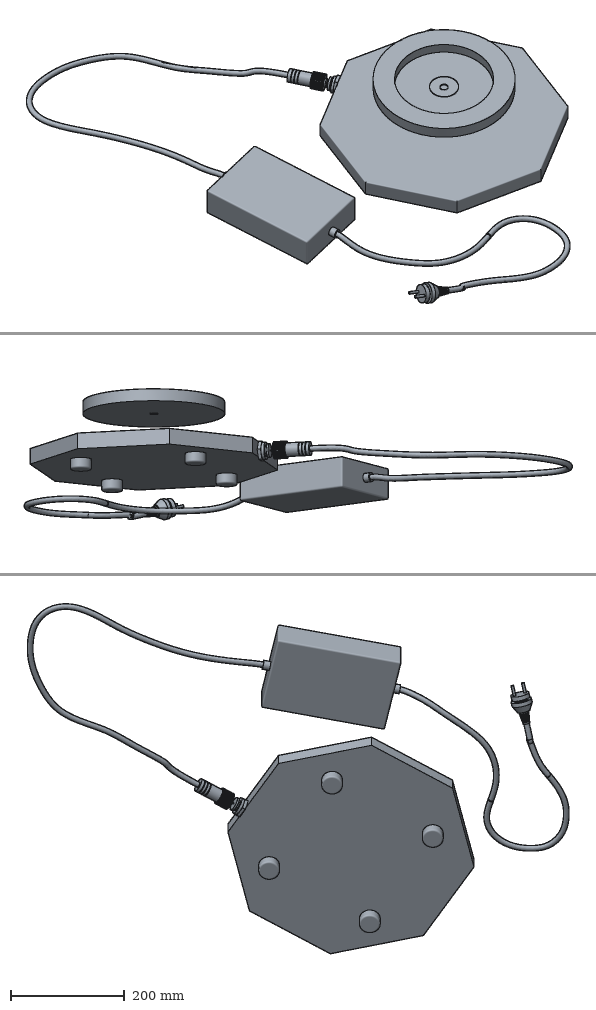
import cadquery as cq
import math


base_sides = 8
base_width = 405.0
base_bottom = 18.0
base_height = 29.0
base_edge_radius = 2.0

foot_radius = 18.0
foot_offset = 104.0
foot_edge_radius = 3.0

dish_radius = 125.0
dish_bottom = 114.0
dish_height = 21.0
dish_recess_radius = 87.0
dish_recess_depth = 18.0
hub_radius = 26.0
hub_depth = 1.0
dish_hole_radius = 7.0

supply_length = 221.0
supply_width = 142.0
supply_height = 55.0
supply_edge_radius = 3.0
supply_angle = -20
supply_centre = (-216.0, -280.0)
grommet_radius = 8.0
grommet_length = 12.0

cable_radius = 5.0
cable_overlap = 3.0
lead_low = 8.0
mains_low = 2.0

lead_route = [
    (-362.0, -228.0, 23.0),
    (-411.0, -210.0, 17.0),
    (-473.0, -192.0, 13.0),
    (-535.0, -183.0, 10.0),
    (-593.0, -180.0, lead_low),
    (-658.0, -179.0, lead_low),
    (-695.0, -168.0, lead_low),
    (-717.0, -143.0, lead_low),
    (-722.0, -113.0, lead_low),
    (-711.0, -76.0, lead_low),
    (-686.0, -38.0, lead_low),
    (-646.0, -4.0, lead_low),
    (-592.0, 20.0, lead_low),
    (-496.0, 15.0, 12.0),
    (-435.0, 18.0, 17.0),
    (-372.0, 24.0, 25.0),
]

mains_route = [
    (-82.0, -328.0, 23.0),
    (-51.0, -335.0, 11.0),
    (-18.0, -335.0, 4.0),
    (36.0, -329.0, mains_low),
    (82.0, -317.0, mains_low),
    (117.0, -292.0, mains_low),
    (137.0, -261.0, mains_low),
    (149.0, -223.0, mains_low),
    (164.0, -188.0, mains_low),
    (189.0, -169.0, mains_low),
    (224.0, -165.0, mains_low),
    (259.0, -177.0, mains_low),
    (283.0, -200.0, mains_low),
    (291.0, -232.0, mains_low),
    (280.0, -265.0, mains_low),
    (260.0, -293.0, mains_low),
    (215.0, -320.0, mains_low),
    (172.0, -342.0, 3.0),
    (141.0, -366.0, 6.0),
]

connector_y = 35.0
connector_z = 31.0
connector_rear = -295.0
connector_body_length = 43.0
connector_body_radius = 12.0
connector_groove_depth = 1.0
connector_groove_width = 1.0
connector_groove_count = 3
connector_groove_spacing = 6.0
sleeve_length = 23.0
sleeve_radius = 14.0
sleeve_rib_count = 24
sleeve_rib_size = 2.0
nose_length = 3.0
nose_radius = 8.0
contact_radius = 1.0

socket_nut_sides = 6
socket_nut_width = 32.0
socket_nut_length = 6.0
socket_collar_radius = 15.0
socket_collar_length = 5.0
socket_neck_radius = 10.0
socket_neck_length = 3.0
socket_face_radius = 12.0
socket_face_length = 4.0

plug_end = (121.0, -389.0, 12.0)
plug_heading = 225
plug_tilt = 17
plug_roll = 17
relief_length = 23.0
relief_end_radius = 6.0
relief_radius = 9.0
relief_groove_count = 4
relief_groove_width = 2.0
relief_groove_depth = 2.0
plug_back_radius = 11.0
plug_body_radius = 18.0
plug_face_radius = 16.0
plug_groove_radius = 12.0
plug_back_length = 13.0
plug_disc_length = 7.0
plug_groove_length = 3.0
plug_front_length = 8.0
plug_pin_radius = 2.6
plug_pin_length = 18.0
plug_pin_spacing = 19.0


def cylinder_along_x(start, length, radius):
    """Cylinder on the connector axis, running toward +X."""
    return (
        cq.Workplane("YZ", origin=(start, connector_y, connector_z))
        .circle(radius)
        .extrude(length)
    )


def make_base():
    corner_diameter = base_width / math.cos(math.pi / base_sides)
    base = (
        cq.Workplane("XY")
        .workplane(offset=base_bottom)
        .transformed(rotate=(0, 0, 180 / base_sides))
        .polygon(base_sides, corner_diameter)
        .extrude(base_height)
        .faces(">Z")
        .edges()
        .fillet(base_edge_radius)
    )
    feet = (
        cq.Workplane("XY")
        .rect(2 * foot_offset, 2 * foot_offset, forConstruction=True)
        .vertices()
        .circle(foot_radius)
        .extrude(base_bottom)
        .faces("<Z")
        .edges()
        .fillet(foot_edge_radius)
    )
    return base.union(feet)


def make_socket():
    nut_start = -base_width / 2 - socket_nut_length
    collar_start = nut_start - socket_collar_length
    neck_start = collar_start - socket_neck_length
    face_start = neck_start - socket_face_length
    nut = (
        cq.Workplane("YZ", origin=(nut_start, connector_y, connector_z))
        .polygon(socket_nut_sides, socket_nut_width / math.cos(math.pi / socket_nut_sides))
        .extrude(socket_nut_length)
    )
    collar = cylinder_along_x(collar_start, socket_collar_length, socket_collar_radius)
    neck = cylinder_along_x(neck_start, socket_neck_length, socket_neck_radius)
    face = cylinder_along_x(face_start, socket_face_length, socket_face_radius)
    return nut.union(collar).union(neck).union(face)


def make_connector():
    sleeve_start = connector_rear + connector_body_length
    nose_start = sleeve_start + sleeve_length
    body = cylinder_along_x(connector_rear, connector_body_length, connector_body_radius)
    groove_floor_radius = connector_body_radius - connector_groove_depth
    for index in range(connector_groove_count):
        groove_start = connector_rear + (index + 1) * connector_groove_spacing
        ring = cylinder_along_x(groove_start, connector_groove_width, connector_body_radius)
        core = cylinder_along_x(groove_start, connector_groove_width, groove_floor_radius)
        body = body.cut(ring.cut(core))
    sleeve = cylinder_along_x(sleeve_start, sleeve_length, sleeve_radius)
    ribs = (
        cq.Workplane("YZ", origin=(sleeve_start, connector_y, connector_z))
        .polarArray(sleeve_radius, 0, 360, sleeve_rib_count)
        .rect(sleeve_rib_size, sleeve_rib_size)
        .extrude(sleeve_length)
    )
    nose = cylinder_along_x(nose_start, nose_length, nose_radius)
    contact = cylinder_along_x(nose_start, -base_width / 2 - nose_start, contact_radius)
    return body.union(sleeve).union(ribs).union(nose).union(contact)


def along_supply(distance):
    """Point on the long centre line of the power supply, at mid height."""
    angle = math.radians(supply_angle)
    return (
        supply_centre[0] + distance * math.cos(angle),
        supply_centre[1] + distance * math.sin(angle),
        supply_height / 2,
    )


def make_supply():
    case = (
        cq.Workplane("XY")
        .box(supply_length, supply_width, supply_height)
        .edges()
        .fillet(supply_edge_radius)
    )
    grommets = (
        cq.Workplane("YZ")
        .circle(grommet_radius)
        .extrude(supply_length / 2 + grommet_length, both=True)
    )
    return (
        case.union(grommets)
        .rotate((0, 0, 0), (0, 0, 1), supply_angle)
        .translate((*supply_centre, supply_height / 2))
    )


def make_cable(points, start_direction, end_direction):
    path = cq.Workplane("XY").spline(points, tangents=[start_direction, end_direction])
    start_plane = cq.Plane(origin=points[0], normal=start_direction)
    return cq.Workplane(start_plane).circle(cable_radius).sweep(path, isFrenet=True)


def plug_direction():
    heading = math.radians(plug_heading)
    tilt = math.radians(plug_tilt)
    return cq.Vector(
        math.cos(heading) * math.cos(tilt),
        math.sin(heading) * math.cos(tilt),
        math.sin(tilt),
    )


def make_plug():
    """Plug built upright from its cable end, then rolled, tilted, turned to its heading and placed."""
    disc_start = relief_length + plug_back_length
    groove_start = disc_start + plug_disc_length
    front_start = groove_start + plug_groove_length
    front_end = front_start + plug_front_length
    body = (
        cq.Workplane("XZ")
        .polyline(
            [
                (0, 0),
                (relief_end_radius, 0),
                (relief_radius, relief_length),
                (plug_back_radius, relief_length),
                (plug_body_radius, disc_start),
                (plug_body_radius, groove_start),
                (plug_groove_radius, groove_start),
                (plug_groove_radius, front_start),
                (plug_face_radius, front_start),
                (plug_face_radius, front_end),
                (0, front_end),
            ]
        )
        .close()
        .revolve(360, (0, 0, 0), (0, 1, 0))
    )
    for index in range(relief_groove_count):
        fraction = (index + 1) / (relief_groove_count + 1)
        surface_radius = relief_end_radius + fraction * (relief_radius - relief_end_radius)
        groove = (
            cq.Workplane("XY")
            .workplane(offset=fraction * relief_length - relief_groove_width / 2)
            .circle(relief_radius)
            .circle(surface_radius - relief_groove_depth)
            .extrude(relief_groove_width)
        )
        body = body.cut(groove)
    pins = (
        cq.Workplane("XY")
        .workplane(offset=front_end)
        .pushPoints([(-plug_pin_spacing / 2, 0), (plug_pin_spacing / 2, 0)])
        .circle(plug_pin_radius)
        .extrude(plug_pin_length)
    )
    return (
        body.union(pins)
        .rotate((0, 0, 0), (0, 0, 1), 90 + plug_roll)
        .rotate((0, 0, 0), (0, 1, 0), 90 - plug_tilt)
        .rotate((0, 0, 0), (0, 0, 1), plug_heading)
        .translate(plug_end)
    )


def make_lead():
    """Cable from the power supply round to the connector."""
    points = [
        along_supply(-supply_length / 2 - grommet_length + cable_overlap),
        *lead_route,
        (connector_rear + cable_overlap, connector_y, connector_z),
    ]
    angle = math.radians(supply_angle)
    return make_cable(points, (-math.cos(angle), -math.sin(angle), 0), (1, 0, 0))


def make_mains_cable():
    """Cable from the power supply round to the mains plug."""
    direction = plug_direction()
    points = [
        along_supply(supply_length / 2 + grommet_length - cable_overlap),
        *mains_route,
        (cq.Vector(*plug_end) + direction * cable_overlap).toTuple(),
    ]
    angle = math.radians(supply_angle)
    return make_cable(points, (math.cos(angle), math.sin(angle), 0), direction.toTuple())


def dish_disc(bottom, radius, height):
    """Disc on the turntable axis."""
    return cq.Workplane("XY").workplane(offset=bottom).circle(radius).extrude(height)


def make_dish():
    floor = dish_bottom + dish_height - dish_recess_depth
    dish = dish_disc(dish_bottom, dish_radius, dish_height)
    recess = dish_disc(floor, dish_recess_radius, dish_recess_depth)
    hub_recess = dish_disc(floor - hub_depth, hub_radius, hub_depth)
    hole = dish_disc(dish_bottom, dish_hole_radius, dish_height)
    return dish.cut(recess).cut(hub_recess).cut(hole)


drive_unit = (
    make_base()
    .union(make_socket())
    .union(make_connector())
    .union(make_lead())
    .union(make_supply())
    .union(make_mains_cable())
    .union(make_plug())
)
dish = make_dish()

result = cq.Compound.makeCompound([drive_unit.val(), dish.val()])